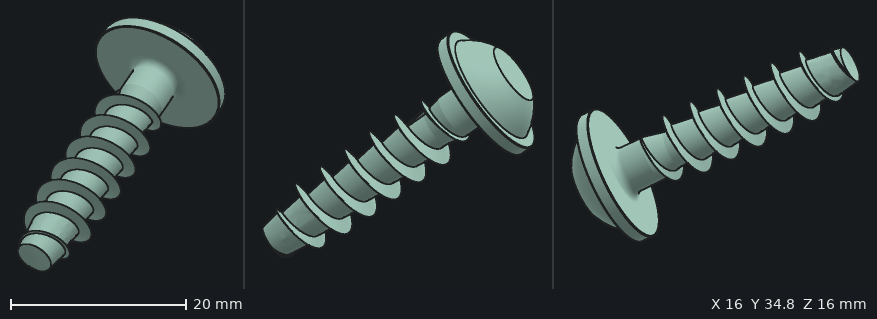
import cadquery as cq
import math

length = 34.8
flange_radius = 8.0
flange_top = 3.2
flange_bottom = 4.8
flange_edge_chamfer = 0.1
dome_base_radius = 6.68
dome_top_radius = 3.62
shank_radius = 2.7
shank_end = 8.77
neck_fillet = 1.0

core_radius = 2.2
ramp_wide_radius = 2.65
ramp_narrow_radius = 2.23
ramp_inner_radius = 1.9
ramp_axial_gap = 0.1
run_out_end = 11.3
tip_radius = 2.15
tip_dish_radius = 2.02
tip_dish_depth = 0.2
tip_taper_start = 32.0

pitch = 3.6
thread_radius = 4.055
thread_base_radius = 1.9
thread_base_half_width = 0.6
zero_angle_depth = 7.0
taper_turns = 1.5
lead_in_crest_radius = 2.6
lead_out_crest_radius = 2.2
lead_in_end = 1.5
lead_out_start = 6.25
ramp_start = 1.0
ramp_end = 8.3
samples_per_turn = 16


def revolve_profile(profile):
    return profile.close().revolve(360, (0, 0, 0), (0, 1, 0))


def helix_edge(start, end, first_turn, last_turn):
    """Helix whose (radius, axial offset) changes evenly from start to end."""
    count = math.ceil((last_turn - first_turn) * samples_per_turn)
    points = []
    for i in range(count + 1):
        share = i / count
        turn = first_turn + share * (last_turn - first_turn)
        radius = start[0] + share * (end[0] - start[0])
        offset = start[1] + share * (end[1] - start[1])
        angle = 2 * math.pi * turn
        depth = zero_angle_depth + pitch * turn + offset
        points.append(cq.Vector(radius * math.cos(angle), -depth, radius * math.sin(angle)))
    return cq.Edge.makeSpline(points)


def helical_solid(start_profile, end_profile, first_turn, last_turn):
    """Solid with a polygonal section that follows the screw helix."""
    edges = [helix_edge(s, e, first_turn, last_turn) for s, e in zip(start_profile, end_profile)]
    faces = [cq.Face.makeRuledSurface(a, b) for a, b in zip(edges, edges[1:] + edges[:1])]
    for position in (0, 1):
        corners = [edge.positionAt(position) for edge in edges]
        faces.append(cq.Face.makeFromWires(cq.Wire.makePolygon(corners, close=True)))
    solid = cq.Solid.makeSolid(cq.Shell.makeShell(faces))
    return cq.Workplane(solid.fix())


def make_head():
    centre_depth = (dome_base_radius**2 + flange_top**2 - dome_top_radius**2) / (2 * flange_top)
    sphere_radius = math.hypot(dome_top_radius, centre_depth)
    mid_depth = flange_top / 2
    mid_radius = math.sqrt(sphere_radius**2 - (centre_depth - mid_depth) ** 2)
    dome = revolve_profile(
        cq.Workplane("XY")
        .lineTo(dome_top_radius, 0)
        .threePointArc((mid_radius, -mid_depth), (dome_base_radius, -flange_top))
        .lineTo(0, -flange_top)
    )
    flange = (
        cq.Workplane("XZ", origin=(0, -flange_top, 0))
        .circle(flange_radius)
        .extrude(flange_bottom - flange_top)
        .edges()
        .chamfer(flange_edge_chamfer)
    )
    return dome.union(flange)


def make_shank():
    neck_end = flange_bottom + neck_fillet
    fillet_inset = neck_fillet * (1 - math.sqrt(0.5))
    return revolve_profile(
        cq.Workplane("XY")
        .moveTo(0, -flange_bottom)
        .lineTo(shank_radius + neck_fillet, -flange_bottom)
        .threePointArc(
            (shank_radius + fillet_inset, -flange_bottom - fillet_inset),
            (shank_radius, -neck_end),
        )
        .lineTo(shank_radius, -shank_end)
        .lineTo(core_radius, -run_out_end)
        .lineTo(core_radius, -tip_taper_start)
        .lineTo(tip_radius, -length)
        .lineTo(0, -length)
    )


def make_ramp():
    profile = [
        (ramp_inner_radius, ramp_axial_gap),
        (ramp_wide_radius, ramp_axial_gap),
        (ramp_narrow_radius, pitch - ramp_axial_gap),
        (ramp_inner_radius, pitch - ramp_axial_gap),
    ]
    envelope = revolve_profile(
        cq.Workplane("XY")
        .moveTo(0, -shank_end)
        .lineTo(shank_radius, -shank_end)
        .lineTo(ramp_wide_radius, -tip_taper_start)
        .lineTo(tip_radius, -length)
        .lineTo(0, -length)
    )
    return helical_solid(profile, profile, ramp_start, ramp_end).intersect(envelope)


def thread_profile(crest_radius):
    base_radius = thread_base_radius - (thread_radius - crest_radius)
    return [
        (base_radius, -thread_base_half_width),
        (crest_radius, 0),
        (base_radius, thread_base_half_width),
    ]


def make_thread():
    full = thread_profile(thread_radius)
    lead_in = helical_solid(
        thread_profile(lead_in_crest_radius), full, lead_in_end - taper_turns, lead_in_end
    )
    middle = helical_solid(full, full, lead_in_end, lead_out_start)
    lead_out = helical_solid(
        full, thread_profile(lead_out_crest_radius), lead_out_start, lead_out_start + taper_turns
    )
    threaded_zone = (
        cq.Workplane("XZ", origin=(0, -shank_end, 0)).circle(flange_radius).extrude(length - shank_end)
    )
    return [section.intersect(threaded_zone) for section in (lead_in, middle, lead_out)]


def make_tip_dish():
    return revolve_profile(
        cq.Workplane("XY")
        .moveTo(0, -length)
        .lineTo(tip_dish_radius, -length)
        .lineTo(0, -length + tip_dish_depth)
    )


result = make_head().union(make_shank()).union(make_ramp())
for thread_section in make_thread():
    result = result.union(thread_section)
result = result.cut(make_tip_dish())